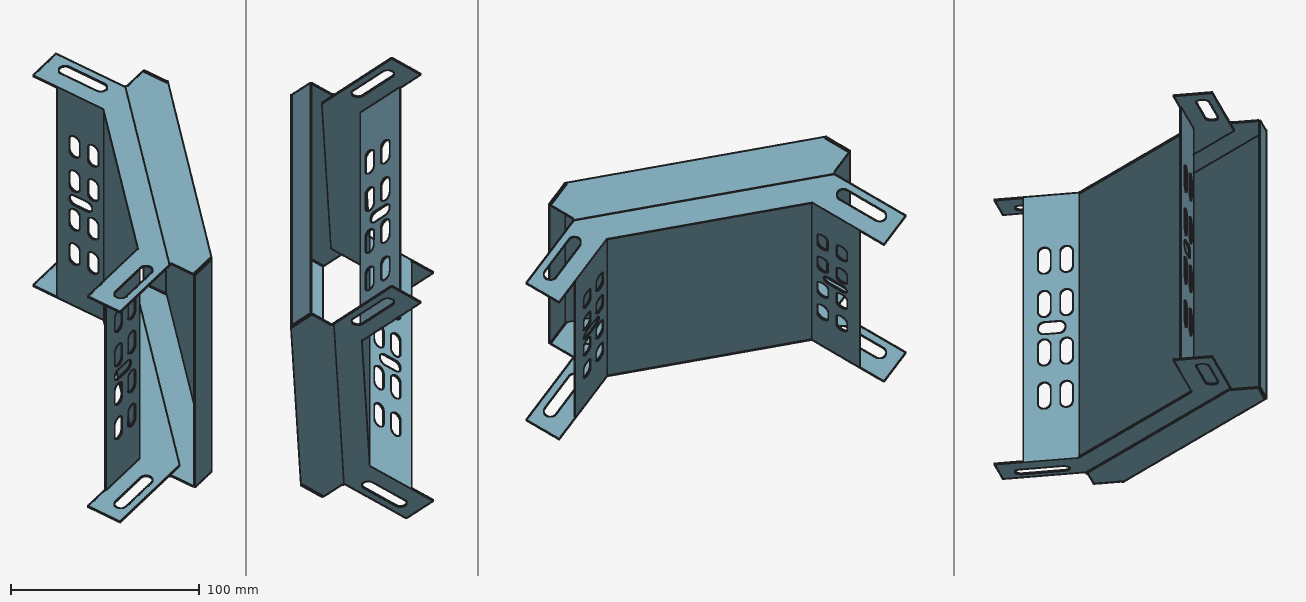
import cadquery as cq
import math


span = 161.3
cover_height = 153.2
sheet = 0.8
tray_height = cover_height - 2 * sheet

flange_width = 21.0
arm_outer = 145.2
arm_inner = arm_outer - flange_width
bend_start = 45.8
web_setback = 0.2
wing_start = 15.5

arm_slot_length = 30.0
slot_width = 7.0
arm_slot_along = 23.0
arm_slot_across = 137.5

wing_slot_length = 15.0
slot_column_first = 27.0
slot_column_pitch = 12.1
slot_row_inner = 13.9
slot_row_outer = 38.5

cover_wing_start = 46.0
cover_corner = 61.3
cover_flange_width = 22.9
rabbet_width = 1.21
rabbet_depth = sheet / 2


def mirrored(point):
    """Reflect a plan point across the plane x = y."""
    return (point[1], point[0])


def mirror_solid(shape):
    """Reflect a shape across the plane x = y."""
    return shape.mirror(cq.Vector(1, -1, 0))


def plate(points, bottom, thickness):
    """Flat or upright plate: a plan outline extruded upward from a given height."""
    return cq.Workplane("XY").workplane(offset=bottom).polyline(points).close().extrude(thickness)


def symmetric_outline(inner_half, outer_half):
    """Close a plan outline from the halves of its inner and outer edges, each listed towards the bend."""
    inner = inner_half + [mirrored(p) for p in reversed(inner_half)]
    outer = outer_half + [mirrored(p) for p in reversed(outer_half)]
    return inner + outer[::-1]


def make_tray():
    half_bend = math.tan(math.radians(45 / 2))

    web_start = bend_start + web_setback * math.sqrt(2)
    wall_face = [(wing_start, arm_inner), (web_start, arm_inner)]
    wall_back = [(wing_start, arm_inner + sheet), (web_start + sheet * half_bend, arm_inner + sheet)]
    tray = plate(symmetric_outline(wall_face, wall_back), -tray_height / 2, tray_height)

    flange_inner = [(0, arm_inner), (bend_start, arm_inner)]
    flange_outer = [(0, arm_outer), (bend_start + flange_width * half_bend, arm_outer)]
    flange = symmetric_outline(flange_inner, flange_outer)
    for bottom in (-tray_height / 2, tray_height / 2 - sheet):
        tray = tray.union(plate(flange, bottom, sheet))

    for cutter in (arm_slot_cutter(), wing_slot_cutter()):
        tray = tray.cut(cutter).cut(mirror_solid(cutter))
    return tray


def arm_slot_cutter():
    """Long slot through the top and bottom arms on the -X end."""
    return (
        cq.Workplane("XY")
        .center(arm_slot_along, arm_slot_across)
        .slot2D(arm_slot_length, slot_width)
        .extrude(tray_height, both=True)
    )


def wing_slot_cutter():
    """Two columns of upright slots and one level slot through the wing on the -X end."""
    columns = [slot_column_first, slot_column_first + slot_column_pitch]
    rows = [-slot_row_outer, -slot_row_inner, slot_row_inner, slot_row_outer]
    level_slot_x = slot_column_first + (wing_slot_length - slot_width) / 2
    wing_plane = cq.Workplane("XZ", origin=(0, arm_inner, 0))
    upright = (
        wing_plane.pushPoints([(x, z) for x in columns for z in rows])
        .slot2D(wing_slot_length, slot_width, 90)
        .extrude(2 * sheet, both=True)
    )
    level = (
        wing_plane.center(level_slot_x, 0)
        .slot2D(wing_slot_length, slot_width)
        .extrude(2 * sheet, both=True)
    )
    return upright.union(level)


def make_cover():
    front_step = cover_flange_width / math.sqrt(2)
    mitre_end = (cover_corner - front_step, span - front_step)

    corner = (cover_corner, span)
    web_plan = [mitre_end, corner, mirrored(corner), mirrored(mitre_end)]
    back_step = sheet / math.sqrt(2)
    web_inner = (cover_corner - back_step, span - back_step)
    web_cavity = [mitre_end, web_inner, mirrored(web_inner), mirrored(mitre_end)]
    web = plate(web_plan, -cover_height / 2, cover_height)
    web = web.cut(plate(web_cavity, sheet - cover_height / 2, cover_height - 2 * sheet))

    wing = cover_wing(corner, mitre_end)
    cover = web.union(wing).union(mirror_solid(wing))

    for side in (-1, 1):
        rabbet = rabbet_cutter(side)
        cover = cover.cut(rabbet).cut(mirror_solid(rabbet))
    return cover


def cover_wing(corner, mitre_end):
    """Short wall on the +Y side with a triangular flange at its top and bottom."""
    low = mitre_end[1] + cover_wing_start - mitre_end[0]
    triangle = [(cover_wing_start, low), (cover_wing_start, span), corner]
    wing = plate(triangle, -cover_height / 2, cover_height)
    inside_corner = (span - sheet) - low + cover_wing_start
    cavity = [(cover_wing_start, low), (cover_wing_start, span - sheet), (inside_corner, span - sheet)]
    return wing.cut(plate(cavity, sheet - cover_height / 2, cover_height - 2 * sheet))


def rabbet_cutter(side):
    """Bar along the outer edge of the +Y wing, at the top (side = 1) or the bottom (side = -1)."""
    length = cover_corner - cover_wing_start
    return cq.Workplane("XY").box(length, 2 * rabbet_width, 2 * rabbet_depth).translate(
        (cover_wing_start + length / 2, span, side * cover_height / 2)
    )


tray = make_tray()
cover = make_cover()

result = cq.Compound.makeCompound([tray.val(), cover.val()])